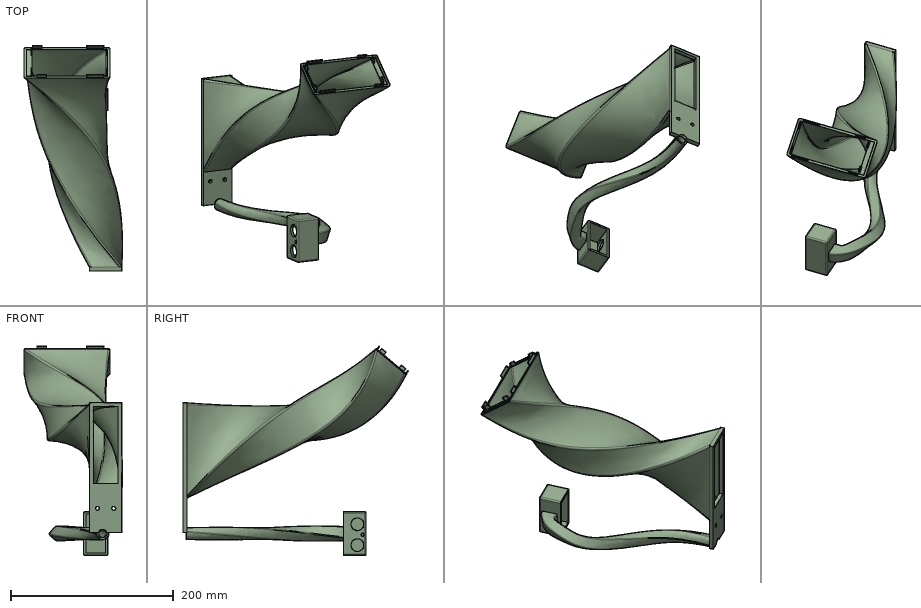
import cadquery as cq
import math

V = cq.Vector

PLATE_W, PLATE_T, PLATE_H = 40.0, 5.0, 160.0
WINDOW_W, WINDOW_H = 30.0, 95.0
WINDOW_TOP_MARGIN = 4.5
SCREW_D, SCREW_SPACING, SCREW_Z = 4.5, 20.0, 30.0

WALL = 3.0
DUCT_START_H = 117.5
DUCT_CORNER_R = 2.8
DUCT_SECTIONS = 13

RIM_W, RIM_D, RIM_T = 106.0, 49.2, 1.0
RIM_TILT = 40.0
RIM_CENTER = V(-47.5, 256.5, 210.8)
RIM_STEP = 0.5
OPENING_W = 91.0
OPENING_SHIFT = 2.2
TAB_T, TAB_H = 1.0, 4.5
TAB_INSET = 0.8
WIDE_TAB_W, NARROW_TAB_W, SIDE_TAB_W = 21.0, 12.0, 7.2
WIDE_TAB_X = 34.7
FRONT_NARROW_TAB_X, BACK_NARROW_TAB_X = -31.0, -36.7
SIDE_TAB_OFFSET = 15.8

TUBE_SIZE, BORE_D = 15.0, 10.0
TUBE_X, TUBE_Z = -3.3, -1.0
TUBE_SEAT = 1.0
TUBE_TWIST = 153.0
TUBE_CORNER_R = 1.0
TUBE_SECTIONS = 17

TUBE_BENDS = [V(-10.5, 55.5, TUBE_Z), V(-42.5, 111.6, TUBE_Z), V(-60.0, 158.3, TUBE_Z), V(-47.5, 196.3, TUBE_Z)]
TUBE_END_Y = 210.2

BOX_W, BOX_D, BOX_H = 30.0, 28.0, 54.0
BOX_LEFT, BOX_FRONT, BOX_BOTTOM = -27.2, 197.5, -28.0
BOX_EDGE_R = 2.0
SOCKET_D, SOCKET_SPACING = 15.5, 25.8
SOCKET_Y, SOCKET_MID_Z = 214.7, -2.5
SMALL_HOLE_D, SMALL_HOLE_Y = 4.0, 221.0


def rounded_outline(corners, radius):
    """Closed wire through four corners, each replaced by an arc of about the given radius."""
    bulge = radius * (1 - math.sqrt(0.5))
    edges = []
    arcs = []
    for i, corner in enumerate(corners):
        to_last = (corners[i - 1] - corner).normalized()
        to_next = (corners[(i + 1) % 4] - corner).normalized()
        middle = corner + (to_last + to_next) * bulge
        arcs.append((corner + to_last * radius, middle, corner + to_next * radius))
    for i, arc in enumerate(arcs):
        edges.append(cq.Edge.makeThreePointArc(*arc))
        edges.append(cq.Edge.makeLine(arc[2], arcs[(i + 1) % 4][0]))
    return cq.Wire.assembleEdges(edges)


tilt = math.radians(RIM_TILT)
rim_normal = V(0, math.sin(tilt), math.cos(tilt))
rim_back = V(0, math.cos(tilt), -math.sin(tilt))
duct_end = RIM_CENTER - rim_normal * RIM_T
half_w = V(RIM_W / 2, 0, 0)
half_d = rim_back * (RIM_D / 2)

TOP_LEFT_EDGE = [
    V(-PLATE_W / 2, PLATE_T, PLATE_H), V(-100.5, 142.2, 83.0), V(-84.0, 231.3, 105.3), duct_end + half_w + half_d,
]
TOP_RIGHT_EDGE = [
    V(PLATE_W / 2, PLATE_T, PLATE_H), V(-86.0, 127.2, 156.4), V(-95.0, 186.0, 147.5), duct_end - half_w + half_d,
]
BOTTOM_RIGHT_EDGE = [
    V(PLATE_W / 2, PLATE_T, PLATE_H - DUCT_START_H), V(31.5, 130.0, 179.5), V(-17.2, 170.8, 170.8),
    duct_end - half_w - half_d,
]


def bezier(points, t):
    start, pull_start, pull_end, end = points
    s = 1 - t
    return start * s**3 + pull_start * (3 * s * s * t) + pull_end * (3 * s * t * t) + end * t**3


def duct_outline(t, inset, radius):
    """Section of the duct at t (0 at the plate, 1 at the outlet), moved in by inset."""
    top_left = bezier(TOP_LEFT_EDGE, t)
    top_right = bezier(TOP_RIGHT_EDGE, t)
    bottom_right = bezier(BOTTOM_RIGHT_EDGE, t)
    across = (top_right - top_left).normalized()
    down = (bottom_right - top_right).normalized()
    step = inset / across.cross(down).Length
    bottom_left = top_left + bottom_right - top_right
    return rounded_outline(
        [
            top_left + (across + down) * step,
            top_right + (down - across) * step,
            bottom_right - (across + down) * step,
            bottom_left + (across - down) * step,
        ],
        radius,
    )


def duct_solid(inset, radius):
    steps = [i / (DUCT_SECTIONS - 1) for i in range(DUCT_SECTIONS)]
    return cq.Workplane(cq.Solid.makeLoft([duct_outline(t, inset, radius) for t in steps]))


def plate_solid():
    plate = cq.Workplane().box(PLATE_W, PLATE_T, PLATE_H, centered=(True, False, False))
    window_z = PLATE_H - WINDOW_TOP_MARGIN - WINDOW_H
    window = cq.Workplane().box(WINDOW_W, PLATE_T, WINDOW_H, centered=(True, False, False))
    screw_holes = (
        cq.Workplane("XZ")
        .pushPoints([(-SCREW_SPACING / 2, SCREW_Z), (SCREW_SPACING / 2, SCREW_Z)])
        .circle(SCREW_D / 2)
        .extrude(-PLATE_T)
    )
    return plate.cut(window.translate((0, 0, window_z))).cut(screw_holes)


def rim_solid():
    """Flat rim with its tabs; local x is X, local y points to the low back edge."""
    base = cq.Workplane(cq.Plane(duct_end.toTuple(), (1, 0, 0), rim_normal.toTuple()))
    rim = base.sketch().rect(RIM_W, RIM_D).vertices().fillet(DUCT_CORNER_R).finalize().extrude(RIM_T)
    inside_w = RIM_W - 2 * WALL
    inside_d = RIM_D - 2 * WALL
    recess = base.workplane(offset=RIM_T - RIM_STEP).rect(inside_w, inside_d).extrude(RIM_STEP)
    opening = base.center(OPENING_SHIFT, 0).rect(OPENING_W, inside_d).extrude(RIM_T)
    rim = rim.cut(recess).cut(opening)
    long_y = RIM_D / 2 - TAB_INSET - TAB_T / 2
    side_x = OPENING_W / 2 + TAB_T / 2
    tabs = [
        (WIDE_TAB_X, -long_y, WIDE_TAB_W, TAB_T),
        (WIDE_TAB_X, long_y, WIDE_TAB_W, TAB_T),
        (FRONT_NARROW_TAB_X, -long_y, NARROW_TAB_W, TAB_T),
        (BACK_NARROW_TAB_X, long_y, NARROW_TAB_W, TAB_T),
    ]
    for x in (OPENING_SHIFT - side_x, OPENING_SHIFT + side_x):
        for y in (-SIDE_TAB_OFFSET, SIDE_TAB_OFFSET):
            tabs.append((x, y, TAB_T, SIDE_TAB_W))
    for x, y, length_x, length_y in tabs:
        rim = rim.union(base.center(x, y).rect(length_x, length_y).extrude(RIM_T + TAB_H))
    return rim


tube_start = V(TUBE_X, PLATE_T - TUBE_SEAT, TUBE_Z)
tube_end = V(BOX_LEFT + WALL, TUBE_END_Y, TUBE_Z)
tube_path = cq.Edge.makeSpline([tube_start, *TUBE_BENDS, tube_end], tangents=[V(0, 1, 0), V(1, 0, 0)])


def tube_outline(t):
    """Section of the tube at t: a circle at the plate (0) that grows corners into a square at the box (1)."""
    center = tube_path.positionAt(t)
    up = V(0, 0, 1)
    left = up.cross(tube_path.tangentAt(t))
    half = TUBE_SIZE / 2

    def point(angle, square_reach):
        reach = half + (square_reach - half) * t
        return center + (left * math.cos(angle) + up * math.sin(angle)) * reach

    spread = math.radians(45) - math.atan(1 - TUBE_CORNER_R / half)
    arc_end_reach = half / math.cos(math.radians(45) - spread)
    arc_middle_reach = half * math.sqrt(2) - TUBE_CORNER_R * (math.sqrt(2) - 1)
    eighth = math.radians(45)
    twist = math.radians(TUBE_TWIST) * (1 - t)
    edges = []
    for quarter in range(4):
        corner = eighth * (2 * quarter + 1) - twist
        arc_start = point(corner - spread, arc_end_reach)
        arc_end = point(corner + spread, arc_end_reach)
        side_end = point(corner + 2 * eighth - spread, arc_end_reach)
        edges.append(cq.Edge.makeThreePointArc(arc_start, point(corner, arc_middle_reach), arc_end))
        if t < 1:
            edges.append(cq.Edge.makeThreePointArc(arc_end, point(corner + eighth, half), side_end))
        else:
            edges.append(cq.Edge.makeLine(arc_end, side_end))
    return cq.Wire.assembleEdges(edges)


def tube_solid():
    steps = [i / (TUBE_SECTIONS - 1) for i in range(TUBE_SECTIONS)]
    return cq.Workplane(cq.Solid.makeLoft([tube_outline(t) for t in steps]))


def bore_solid():
    start = cq.Plane(tube_start.toTuple(), (1, 0, 0), (0, 1, 0))
    return cq.Workplane(start).circle(BORE_D / 2).sweep(cq.Workplane(tube_path))


def box_solid():
    box = cq.Workplane().box(BOX_W, BOX_D, BOX_H, centered=False)
    box = box.edges("|Y or >Y").fillet(BOX_EDGE_R)
    cavity = cq.Workplane().box(BOX_W - 2 * WALL, BOX_D - WALL, BOX_H - 2 * WALL, centered=False)
    box = box.cut(cavity.translate((WALL, 0, WALL))).translate((BOX_LEFT, BOX_FRONT, BOX_BOTTOM))
    side = cq.Workplane("YZ", origin=(BOX_LEFT + BOX_W - WALL, 0, 0))
    for z in (SOCKET_MID_Z - SOCKET_SPACING / 2, SOCKET_MID_Z + SOCKET_SPACING / 2):
        box = box.cut(side.center(SOCKET_Y, z).circle(SOCKET_D / 2).extrude(WALL))
    return box.cut(side.center(SMALL_HOLE_Y, SOCKET_MID_Z).circle(SMALL_HOLE_D / 2).extrude(WALL))


def duct_body(tube):
    duct = duct_solid(0, DUCT_CORNER_R).cut(duct_solid(WALL, DUCT_CORNER_R / 2))
    bore_exit = cq.Workplane("XZ").center(TUBE_X, TUBE_Z).circle(BORE_D / 2).extrude(-PLATE_T)
    return plate_solid().cut(bore_exit).cut(tube).union(duct).union(rim_solid())


def tube_body(tube):
    return box_solid().union(tube).cut(bore_solid())


solid_tube = tube_solid()
plate_and_duct = duct_body(solid_tube)
tube_and_box = tube_body(solid_tube)
result = cq.Compound.makeCompound([plate_and_duct.val(), tube_and_box.val()])